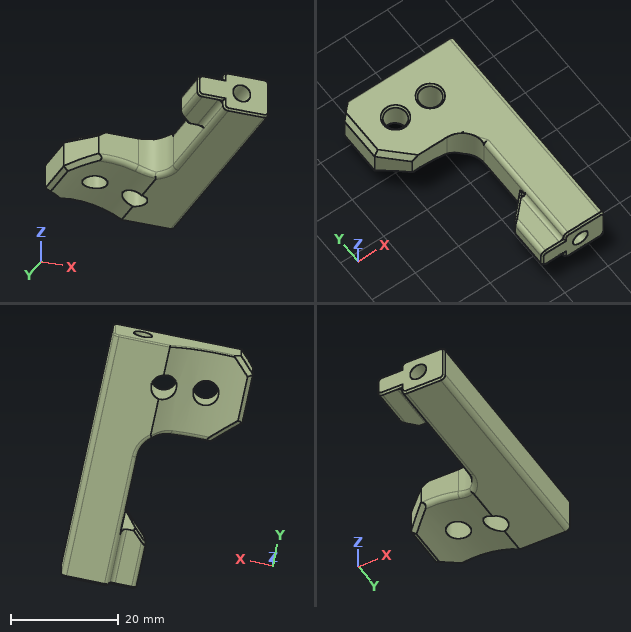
import cadquery as cq
import math

WIDTH = 27.25
LENGTH = 48.05
THICKNESS = 8.02
MID_Z = THICKNESS / 2

ARM_LEFT = 17.95
HEAD_FRONT = 30.6
INNER_RADIUS = 5.0
FRONT_CORNER_CUT = 5.0
BACK_CORNER_CUT = 2.9
INNER_CORNER_Y = HEAD_FRONT - INNER_RADIUS

EDGE = 1.0
END_BEVEL = 0.4
BACK_ROUND = 0.3
ROUND_X = ARM_LEFT + EDGE

ARCH_RADIUS = 20.0
ARCH_X = 7.0
ARCH_HEIGHT = 2.35

BOLT_DIAMETER = 4.75
BOLT_MOUTH = 5.53
BOLT_X = 7.9
BOLT_Y = 39.8
BOLT_SPACING = 8.02
BORE_DIAMETER = 3.45
BORE_X = 21.6

LUG_LEFT = 12.8
LUG_BOTTOM = 1.95
LUG_TOP = 6.45
LUG_TIP_Y = 14.15
LUG_BEVEL = 0.5
RAMP_TOP = 5.05

MARGIN = 0.005


def edges_between(body, low, high):
    """Edges lying wholly inside the box between two opposite corners."""
    low = [value - MARGIN for value in low]
    high = [value + MARGIN for value in high]
    return body.edges(cq.selectors.BoxSelector(low, high, boundingbox=True))


def plate():
    """L-shaped plate with two head corners cut off and the inner corner rounded."""
    return (
        cq.Workplane("XY")
        .moveTo(WIDTH, 0)
        .lineTo(WIDTH, LENGTH)
        .lineTo(BACK_CORNER_CUT, LENGTH)
        .lineTo(0, LENGTH - BACK_CORNER_CUT)
        .lineTo(0, HEAD_FRONT + FRONT_CORNER_CUT)
        .lineTo(FRONT_CORNER_CUT, HEAD_FRONT)
        .lineTo(ARM_LEFT - INNER_RADIUS, HEAD_FRONT)
        .radiusArc((ARM_LEFT, INNER_CORNER_Y), INNER_RADIUS)
        .lineTo(ARM_LEFT, 0)
        .close()
        .extrude(THICKNESS)
    )


def arch():
    """Cylinder along Y that hollows the underside of the head."""
    return (
        cq.Workplane("XZ", origin=(ARCH_X, LENGTH, ARCH_HEIGHT - ARCH_RADIUS))
        .circle(ARCH_RADIUS)
        .extrude(LENGTH - INNER_CORNER_Y)
    )


def bevel_head(body):
    """Bevel the lower edges of the three outer sides of the head and the upper edges of two."""
    front_left = (0, HEAD_FRONT)
    lower = edges_between(body, (*front_left, 0), (FRONT_CORNER_CUT, LENGTH, ARCH_HEIGHT))
    body = lower.chamfer(EDGE)
    upper_end = (FRONT_CORNER_CUT, LENGTH - BACK_CORNER_CUT, THICKNESS)
    upper = edges_between(body, (*front_left, THICKNESS), upper_end)
    return upper.chamfer(EDGE)


def round_lower_edges(body):
    """Round the lower edge from the head front, through the inner corner, down the arm."""
    inner = edges_between(body, (FRONT_CORNER_CUT, 0, 0), (ARM_LEFT, HEAD_FRONT, ARCH_HEIGHT))
    return inner.fillet(EDGE)


def round_arm_top(body):
    """Round the upper inner edge of the arm, running out into the wall of the inner corner."""
    waste = (
        cq.Workplane("XZ", origin=(0, INNER_CORNER_Y, 0))
        .moveTo(ARM_LEFT, THICKNESS - EDGE)
        .radiusArc((ROUND_X, THICKNESS), EDGE)
        .lineTo(ARM_LEFT, THICKNESS)
        .close()
    )
    along_arm = waste.extrude(INNER_CORNER_Y)
    lean = math.acos(INNER_RADIUS / (INNER_RADIUS + EDGE))
    heading = cq.Vector(-math.sin(lean), math.cos(lean), 0)
    run_out = cq.Solid.extrudeLinear(waste.wire().val(), [], heading * INNER_RADIUS)
    return body.cut(along_arm).cut(cq.Workplane(run_out))


def ramp():
    """Waste below the 45 degree ramp that rises towards the lug tip."""
    return (
        cq.Workplane("YZ")
        .moveTo(LUG_TIP_Y - RAMP_TOP, 0)
        .lineTo(LUG_TIP_Y + EDGE, RAMP_TOP + EDGE)
        .lineTo(LUG_TIP_Y + EDGE, 0)
        .close()
        .extrude(WIDTH)
    )


def lug():
    """Side lug with rounded long edges and a bevelled 45 degree tip, sunk into the arm."""
    reach = ARM_LEFT - LUG_LEFT
    bar = (
        cq.Workplane("XY", origin=(0, 0, LUG_BOTTOM))
        .moveTo(ROUND_X, 0)
        .lineTo(LUG_LEFT, 0)
        .lineTo(LUG_LEFT, LUG_TIP_Y - reach)
        .lineTo(ROUND_X, LUG_TIP_Y + EDGE)
        .close()
        .extrude(LUG_TOP - LUG_BOTTOM)
    )
    bar = bar.edges("|Y and <X").fillet(EDGE)
    tip = bar.faces(cq.selectors.DirectionMinMaxSelector(cq.Vector(-1, 1, 0)))
    return tip.edges("not(>X and |Z)").chamfer(LUG_BEVEL)


def valley_fillet(lug_z, round_z):
    """Concave strip joining a lug face to the rounded arm edge next to it.

    lug_z is the height of the lug face, round_z the height of the centre of the rounded edge.
    """
    outward = math.copysign(1, lug_z - MID_Z)
    centre_z = lug_z + outward * EDGE
    centre_x = ROUND_X - math.sqrt((2 * EDGE) ** 2 - (round_z - centre_z) ** 2)
    touch_point = ((centre_x + ROUND_X) / 2, (centre_z + round_z) / 2)
    length = LUG_TIP_Y - (ARM_LEFT - centre_x) - LUG_BEVEL * math.sqrt(2) - END_BEVEL
    return (
        cq.Workplane("XZ", origin=(0, END_BEVEL, 0))
        .moveTo(centre_x, lug_z)
        .radiusArc(touch_point, -outward * EDGE)
        .lineTo(ROUND_X, round_z)
        .lineTo(ROUND_X, lug_z)
        .close()
        .extrude(-length)
    )


def finish_ends(body):
    """Bevel the free end of the arm all round and round the back end, except at the cut corner."""
    body = body.faces("<Y").edges().chamfer(END_BEVEL)
    past_corner = cq.selectors.BoxSelector(
        (BACK_CORNER_CUT + EDGE, 0, -MARGIN), (WIDTH + MARGIN, LENGTH + MARGIN, THICKNESS + MARGIN)
    )
    return body.faces(">Y").edges(past_corner).fillet(BACK_ROUND)


def bolt_hole(x):
    """Vertical hole with a bevelled upper mouth."""
    hole = cq.Workplane("XY", origin=(x, BOLT_Y, 0)).circle(BOLT_DIAMETER / 2).extrude(THICKNESS)
    depth = (BOLT_MOUTH - BOLT_DIAMETER) / 2
    mouth = (
        cq.Workplane("XY", origin=(x, BOLT_Y, THICKNESS - depth))
        .circle(BOLT_DIAMETER / 2)
        .workplane(offset=depth)
        .circle(BOLT_MOUTH / 2)
        .loft()
    )
    return hole.union(mouth)


def bore():
    """Hole along the whole length of the arm."""
    return cq.Workplane("XZ", origin=(BORE_X, 0, MID_Z)).circle(BORE_DIAMETER / 2).extrude(-LENGTH)


body = plate().cut(arch())
body = bevel_head(body)
body = round_lower_edges(body)
body = body.edges("|Y and >X").fillet(EDGE)
body = round_arm_top(body)

body = body.union(lug().cut(ramp()))
body = finish_ends(body)
for lug_z, round_z in ((LUG_TOP, THICKNESS - EDGE), (LUG_BOTTOM, EDGE)):
    body = body.union(valley_fillet(lug_z, round_z).cut(ramp()))

for x in (BOLT_X, BOLT_X + BOLT_SPACING):
    body = body.cut(bolt_hole(x))
result = body.cut(bore())